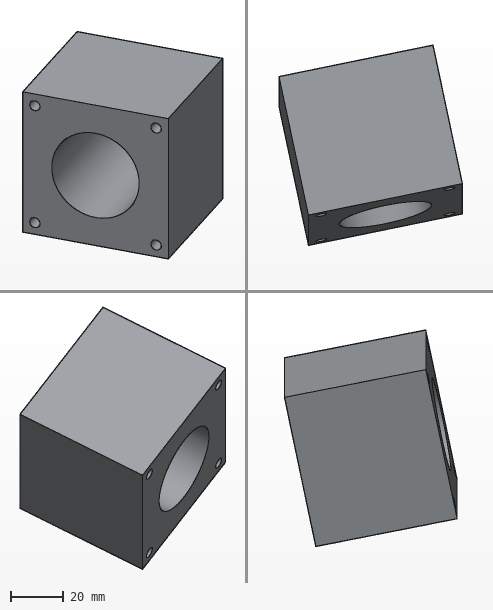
import cadquery as cq

side = 60.0
depth = 55.0
bore_diameter = 36.0
bolt_hole_diameter = 4.2
bolt_spacing = 50.0

block = cq.Workplane("XZ").rect(side, side).extrude(depth / 2, both=True)

bored_block = block.faces("<Y").workplane(centerOption="CenterOfBoundBox").hole(bore_diameter)

result = (
    bored_block.faces("<Y")
    .workplane(centerOption="CenterOfBoundBox")
    .rect(bolt_spacing, bolt_spacing, forConstruction=True)
    .vertices()
    .hole(bolt_hole_diameter)
)